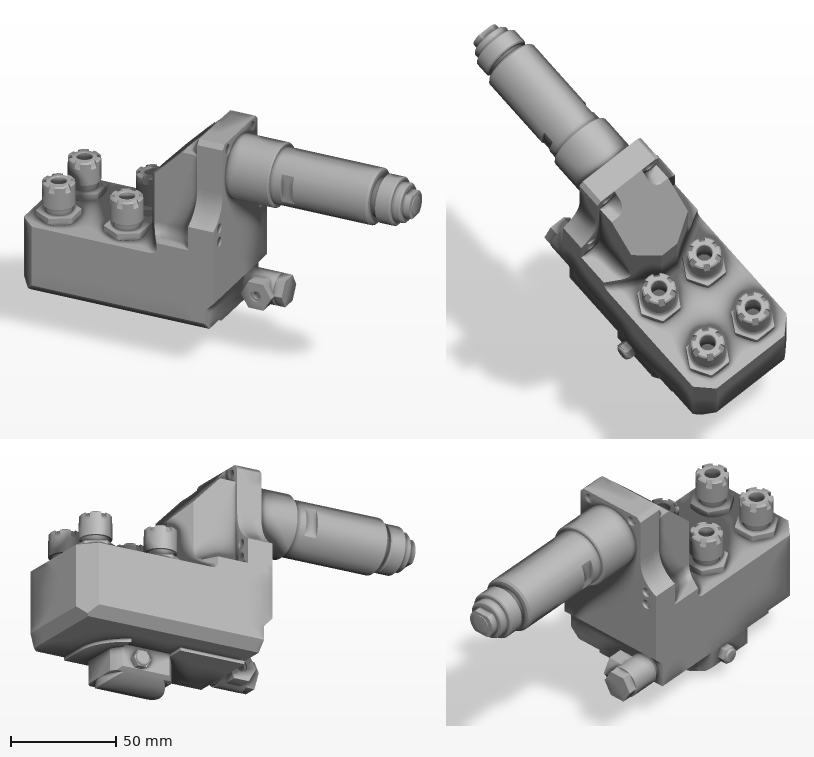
import cadquery as cq
import math


HEX_SIDES = 6

BODY_LENGTH = 104.0
BODY_WIDTH = 58.0
HALF_WIDTH = BODY_WIDTH / 2
DECK_Z = 36.3
CORNER_CHAMFER = 8.0
BOTTOM_CHAMFER = 5.0
NOTCH_DEPTH = 4.5
NOTCH_BEVEL_Z = 12.0

TOWER_TOP_Z = 96.0
NOSE_X = 60.0
NOSE_HALF_WIDTH = 4.8
NOSE_ANGLE = 30.0
NOSE_FILLET = 3.0
FLANGE_X = 90.6
TOWER_HALF_WIDTH = 17.5
SIDE_FLOOR_Z = 42.3
POCKET_RADIUS = 5.0
CORNER_POCKET_Y = 8.4
CORNER_POCKET_Z = 87.3

FLANGE_HALF_WIDTH = 19.0
FLANGE_CHAMFER = 2.2
SHOULDER_TOP_Z = 70.3
SHOULDER_BOTTOM_Z = 54.8
FLANGE_HOLE_DIAMETER = 5.0
UPPER_HOLE_Y = 13.4
UPPER_HOLE_Z = 92.0
LOWER_HOLE_Y = 22.7
LOWER_HOLE_ZS = (46.9, 54.0)

COLLET_CENTRE_X = 33.0
COLLET_SPACING_X = 36.0
COLLET_SPACING_Y = 28.0
COLLET_HEX_FLATS = 19.0
COLLET_HEX_ROUND_RADIUS = 10.8
COLLET_HEX_CHAMFER_HEIGHT = 0.9
COLLET_HEX_CHAMFER_WIDTH = 1.5
COLLET_HEX_TOP_Z = 40.1
COLLET_STEM_RADIUS = 6.6
COLLET_NUT_RADIUS = 8.0
COLLET_NUT_BOTTOM_Z = 43.9
COLLET_NUT_TOP_Z = 55.8
COLLET_NUT_CHAMFER = 0.7
COLLET_BORE_RADIUS = 3.8
COLLET_BORE_CHAMFER = 0.4
COLLET_SLOT_COUNT = 6
COLLET_SLOT_WIDTH = 3.0
COLLET_SLOT_DEPTH = 3.7
COLLET_SLOT_INNER_RADIUS = 5.8

SHAFT_Z = 77.0
SHAFT_END_X = 197.05
SLEEVE_RADIUS = 16.0
SLEEVE_END_X = 126.5
BARREL_RADIUS = 14.0
BARREL_END_X = 177.8
COLLAR_RADIUS = 12.0
COLLAR_START_X = 180.6
COLLAR_END_X = 188.8
JOURNAL_RADIUS = 9.8
JOURNAL_END_X = 193.0
TANG_RADIUS = 7.1
TANG_END_X = 196.7
TANG_THICKNESS = 12.0
TIP_RADIUS = 4.5
SHAFT_CHAMFER = 0.6
BARREL_CHAMFER = 1.0
SPANNER_FLAT_START_X = 132.0
SPANNER_FLAT_LENGTH = 6.4
SPANNER_FLAT_WIDTH = 24.0

SHANK_X = 51.0
SHANK_Y = 14.0
PAD_THICKNESS = 1.6
PAD_RADIUS = 25.0
PAD_START_X = 23.5
SHANK_RADIUS = 19.65
SHANK_LENGTH_X = 34.0
SHANK_LENGTH_Y = 29.6
SHANK_SHOULDER_Z = -12.9
SHANK_BOTTOM_Z = -16.99
SHANK_END_RADIUS = 16.6
SHANK_CROWN_RADIUS = 21.6

SCREW_OFFSET_X = 4.15
SCREW_Z = -6.8
SCREW_HEX_FLATS = 7.9
SCREW_HEX_REACH = 18.5
SCREW_TIP_REACH = 19.7
SCREW_TIP_RADIUS = 3.75
SCREW_TIP_FILLET = 1.0

ELBOW_X = 108.8
ELBOW_Y = 18.9
ELBOW_Z = 5.2
ELBOW_RADIUS = 8.0
ELBOW_HALF_LENGTH = 7.2
ELBOW_NECK_RADIUS = 7.1
ELBOW_HEX_FLATS = 13.8
ELBOW_HEX_REACH = 11.8
ELBOW_PORT_RADIUS = 2.0
ELBOW_PASSAGE_RADIUS = 2.4
ELBOW_PORT_MOUTH_RADIUS = 3.0
ELBOW_PORT_MOUTH_DEPTH = 1.0


def cylinder(start, direction, radius, length):
    return cq.Workplane(cq.Solid.makeCylinder(radius, length, cq.Vector(*start), cq.Vector(*direction)))


def box(x_range, y_range, z_range):
    size = [high - low for low, high in (x_range, y_range, z_range)]
    corner = (x_range[0], y_range[0], z_range[0])
    return cq.Workplane(cq.Solid.makeBox(*size, cq.Vector(*corner)))


def across_corners(flats):
    return flats / math.cos(math.pi / HEX_SIDES)


def lower_block():
    block = box((0, BODY_LENGTH), (-HALF_WIDTH, HALF_WIDTH), (0, DECK_Z))
    block = block.edges("|Z and <X").chamfer(CORNER_CHAMFER)
    front_bevel = (
        cq.Workplane("XZ")
        .polyline([(0, 0), (BOTTOM_CHAMFER, 0), (0, BOTTOM_CHAMFER)])
        .close()
        .extrude(HALF_WIDTH, both=True)
    )
    side_bevel = (
        cq.Workplane("YZ")
        .polyline(
            [(-HALF_WIDTH, 0), (BOTTOM_CHAMFER - HALF_WIDTH, 0), (-HALF_WIDTH, BOTTOM_CHAMFER)]
        )
        .close()
        .extrude(BODY_LENGTH)
    )
    return block.cut(front_bevel).cut(side_bevel)


def tower():
    """Full-width prow with a narrow flat nose, sloped at 45 degrees above."""
    prow_run = (HALF_WIDTH - NOSE_HALF_WIDTH) * math.tan(math.radians(NOSE_ANGLE))
    prow = (
        cq.Workplane("XY")
        .workplane(offset=BOTTOM_CHAMFER)
        .polyline(
            [
                (BODY_LENGTH, -HALF_WIDTH),
                (NOSE_X + prow_run, -HALF_WIDTH),
                (NOSE_X, -NOSE_HALF_WIDTH),
                (NOSE_X, NOSE_HALF_WIDTH),
                (NOSE_X + prow_run, HALF_WIDTH),
                (BODY_LENGTH, HALF_WIDTH),
            ]
        )
        .close()
        .extrude(TOWER_TOP_Z - BOTTOM_CHAMFER)
    )
    slope_run = FLANGE_X - NOSE_X
    slope = (
        cq.Workplane("XZ")
        .polyline(
            [(NOSE_X, TOWER_TOP_Z), (FLANGE_X, TOWER_TOP_Z), (NOSE_X, TOWER_TOP_Z - slope_run)]
        )
        .close()
        .extrude(HALF_WIDTH, both=True)
    )
    return prow.cut(slope)


def flange_envelope():
    """Rear outline of the housing, with concave shoulders, as a bar along X."""
    shoulder_run = HALF_WIDTH - FLANGE_HALF_WIDTH
    shoulder_drop = SHOULDER_TOP_Z - SHOULDER_BOTTOM_Z
    radius = (shoulder_run**2 + shoulder_drop**2) / (2 * shoulder_run)
    half_sweep = math.asin(shoulder_drop / radius) / 2
    mid_y = FLANGE_HALF_WIDTH + radius * (1 - math.cos(half_sweep))
    mid_z = SHOULDER_TOP_Z - radius * math.sin(half_sweep)
    cap_half_width = FLANGE_HALF_WIDTH - FLANGE_CHAMFER
    cap_side_z = TOWER_TOP_Z - FLANGE_CHAMFER
    return (
        cq.Workplane("YZ")
        .moveTo(-HALF_WIDTH, 0)
        .lineTo(HALF_WIDTH, 0)
        .lineTo(HALF_WIDTH, SHOULDER_BOTTOM_Z)
        .threePointArc((mid_y, mid_z), (FLANGE_HALF_WIDTH, SHOULDER_TOP_Z))
        .lineTo(FLANGE_HALF_WIDTH, cap_side_z)
        .lineTo(cap_half_width, TOWER_TOP_Z)
        .lineTo(-cap_half_width, TOWER_TOP_Z)
        .lineTo(-FLANGE_HALF_WIDTH, cap_side_z)
        .lineTo(-FLANGE_HALF_WIDTH, SHOULDER_TOP_Z)
        .threePointArc((-mid_y, mid_z), (-HALF_WIDTH, SHOULDER_BOTTOM_Z))
        .close()
        .extrude(BODY_LENGTH)
    )


def flange_pocket(inner_y, floor_z):
    """Cutter in front of the flange, open to +Y and +Z, with a rounded inner corner."""
    block = box((NOSE_X, FLANGE_X), (inner_y, BODY_WIDTH), (floor_z, TOWER_TOP_Z + BODY_WIDTH))
    return block.edges("|X and <Y and <Z").fillet(POCKET_RADIUS)


def rear_notch():
    """Cutter along the lower rear edge, with a 45 degree upper end."""
    notch_x = BODY_LENGTH - NOTCH_DEPTH
    return (
        cq.Workplane("XZ")
        .polyline(
            [
                (notch_x, 0),
                (BODY_LENGTH, 0),
                (BODY_LENGTH, NOTCH_BEVEL_Z + NOTCH_DEPTH),
                (notch_x, NOTCH_BEVEL_Z),
            ]
        )
        .close()
        .extrude(HALF_WIDTH, both=True)
    )


def flange_holes():
    centres = []
    for side in (-1, 1):
        centres.append((side * UPPER_HOLE_Y, UPPER_HOLE_Z))
        for hole_z in LOWER_HOLE_ZS:
            centres.append((side * LOWER_HOLE_Y, hole_z))
    return (
        cq.Workplane("YZ")
        .workplane(offset=FLANGE_X)
        .pushPoints(centres)
        .circle(FLANGE_HOLE_DIAMETER / 2)
        .extrude(BODY_LENGTH - FLANGE_X)
    )


def housing():
    """Block and tower with the filleted prow root, pockets, rear notch and flange holes."""
    body = lower_block().union(tower())
    margin = NOSE_FILLET / 2
    prow_root = cq.selectors.BoxSelector(
        (NOSE_X - margin, margin - HALF_WIDTH, DECK_Z - margin),
        (FLANGE_X, HALF_WIDTH - margin, DECK_Z + margin),
    )
    body = body.edges(prow_root).fillet(NOSE_FILLET)
    body = body.intersect(flange_envelope())
    for inner_y, floor_z in (
        (TOWER_HALF_WIDTH, SIDE_FLOOR_Z),
        (CORNER_POCKET_Y, CORNER_POCKET_Z),
    ):
        pocket = flange_pocket(inner_y, floor_z)
        body = body.cut(pocket).cut(pocket.mirror("XZ"))
    return body.cut(rear_notch()).cut(flange_holes())


def collet_spindle():
    """Collet spindle on the Z axis, standing at deck height."""
    up = (0, 0, 1)
    hex_height = COLLET_HEX_TOP_Z - DECK_Z
    hexagon = (
        cq.Workplane("XY")
        .workplane(offset=DECK_Z)
        .polygon(HEX_SIDES, across_corners(COLLET_HEX_FLATS))
        .extrude(hex_height)
        .rotate((0, 0, 0), up, 180 / HEX_SIDES)
    )
    corner_rounding = cylinder((0, 0, DECK_Z), up, COLLET_HEX_ROUND_RADIUS, hex_height)
    corner_rounding = corner_rounding.edges("<Z").chamfer(
        COLLET_HEX_CHAMFER_HEIGHT, COLLET_HEX_CHAMFER_WIDTH
    )
    hexagon = hexagon.intersect(corner_rounding)

    stem_height = COLLET_NUT_BOTTOM_Z - DECK_Z
    stem = cylinder((0, 0, DECK_Z), up, COLLET_STEM_RADIUS, stem_height)
    nut_height = COLLET_NUT_TOP_Z - COLLET_NUT_BOTTOM_Z
    nut = cylinder((0, 0, COLLET_NUT_BOTTOM_Z), up, COLLET_NUT_RADIUS, nut_height)
    nut = nut.edges(">Z").chamfer(COLLET_NUT_CHAMFER)
    bore = cylinder((0, 0, COLLET_NUT_BOTTOM_Z), up, COLLET_BORE_RADIUS, nut_height)
    nut = nut.cut(bore)
    nut = nut.edges(cq.selectors.RadiusNthSelector(0)).edges(">Z").chamfer(COLLET_BORE_CHAMFER)

    slot_floor_z = COLLET_NUT_TOP_Z - COLLET_SLOT_DEPTH
    slot = (
        cq.Workplane("YZ")
        .polyline(
            [
                (COLLET_SLOT_INNER_RADIUS, COLLET_NUT_TOP_Z),
                (COLLET_NUT_RADIUS, slot_floor_z),
                (COLLET_NUT_RADIUS, COLLET_NUT_TOP_Z),
            ]
        )
        .close()
        .extrude(COLLET_SLOT_WIDTH / 2, both=True)
    )
    for index in range(COLLET_SLOT_COUNT):
        nut = nut.cut(slot.rotate((0, 0, 0), up, index * 360 / COLLET_SLOT_COUNT))
    return hexagon.union(stem).union(nut)


def drive_shaft():
    """Stepped shaft along X with spanner flats, a collar and a flat-sided tang."""

    def section(radius, start_x, end_x, chamfered_ends=None, chamfer=SHAFT_CHAMFER):
        piece = cylinder((start_x, 0, SHAFT_Z), (1, 0, 0), radius, end_x - start_x)
        if chamfered_ends:
            piece = piece.faces(chamfered_ends).edges().chamfer(chamfer)
        return piece

    sleeve = section(SLEEVE_RADIUS, BODY_LENGTH, SLEEVE_END_X, ">X")
    barrel = section(BARREL_RADIUS, SLEEVE_END_X, BARREL_END_X, ">X", BARREL_CHAMFER)
    journal = section(JOURNAL_RADIUS, BARREL_END_X, JOURNAL_END_X, ">X")
    collar = section(COLLAR_RADIUS, COLLAR_START_X, COLLAR_END_X, "|X")
    tang = section(TANG_RADIUS, JOURNAL_END_X, TANG_END_X)
    tip = section(TIP_RADIUS, TANG_END_X, SHAFT_END_X)

    half_tang = TANG_THICKNESS / 2
    tang = tang.intersect(
        box(
            (JOURNAL_END_X, TANG_END_X),
            (-TANG_RADIUS, TANG_RADIUS),
            (SHAFT_Z - half_tang, SHAFT_Z + half_tang),
        )
    )
    spanner_flat = box(
        (SPANNER_FLAT_START_X, SPANNER_FLAT_START_X + SPANNER_FLAT_LENGTH),
        (SPANNER_FLAT_WIDTH / 2, BARREL_RADIUS),
        (SHAFT_Z - BARREL_RADIUS, SHAFT_Z + BARREL_RADIUS),
    )
    barrel = barrel.cut(spanner_flat).cut(spanner_flat.mirror("XZ"))
    return sleeve.union(barrel).union(journal).union(collar).union(tang).union(tip)


def mounting_pad():
    """Pad with a rounded front corner and a recess in front of the shank's -Y flat."""
    arc_x = PAD_START_X + PAD_RADIUS
    diagonal = PAD_RADIUS * math.sqrt(0.5)
    end_x = BODY_LENGTH - NOTCH_DEPTH
    pad = (
        cq.Workplane("XY")
        .moveTo(PAD_START_X, HALF_WIDTH)
        .lineTo(PAD_START_X, SHANK_Y)
        .threePointArc((arc_x - diagonal, SHANK_Y - diagonal), (arc_x, SHANK_Y - PAD_RADIUS))
        .lineTo(end_x, SHANK_Y - PAD_RADIUS)
        .lineTo(end_x, HALF_WIDTH)
        .close()
        .extrude(-PAD_THICKNESS)
    )
    shank_flat_y = SHANK_LENGTH_Y / 2
    half_flat = math.sqrt(SHANK_RADIUS**2 - shank_flat_y**2)
    recess = box(
        (SHANK_X - half_flat, SHANK_X + half_flat),
        (SHANK_Y - PAD_RADIUS, SHANK_Y - shank_flat_y),
        (-PAD_THICKNESS, 0),
    )
    return pad.cut(recess)


def shank():
    """Flat-sided round shank whose end is crowned about an axis along X."""
    top = (SHANK_X, SHANK_Y, 0)
    down = (0, 0, -1)
    half_x = SHANK_LENGTH_X / 2
    half_y = SHANK_LENGTH_Y / 2
    flats = box(
        (SHANK_X - half_x, SHANK_X + half_x),
        (SHANK_Y - half_y, SHANK_Y + half_y),
        (SHANK_BOTTOM_Z, 0),
    )
    upper = cylinder(top, down, SHANK_RADIUS, -SHANK_SHOULDER_Z)
    lower = cylinder(top, down, SHANK_END_RADIUS, -SHANK_BOTTOM_Z)
    crown_start = (SHANK_X - half_x, SHANK_Y, SHANK_BOTTOM_Z + SHANK_CROWN_RADIUS)
    crown = cylinder(crown_start, (1, 0, 0), SHANK_CROWN_RADIUS, SHANK_LENGTH_X)
    return upper.union(lower).intersect(flats).intersect(crown)


def shank_screw(side):
    """Hexagon screw through the shank face on the given side of it (-1 or +1 along Y)."""
    start = (SHANK_X + side * SCREW_OFFSET_X, SHANK_Y, SCREW_Z)
    outward = (0, side, 0)
    hex_plane = cq.Plane(origin=start, xDir=(1, 0, 0), normal=outward)
    hexagon = cq.Workplane(hex_plane).polygon(HEX_SIDES, across_corners(SCREW_HEX_FLATS))
    hexagon = hexagon.extrude(SCREW_HEX_REACH)
    tip = cylinder(start, outward, SCREW_TIP_RADIUS, SCREW_TIP_REACH)
    tip = tip.faces(">Y" if side > 0 else "<Y").edges().fillet(SCREW_TIP_FILLET)
    return hexagon.union(tip)


def coolant_elbow():
    """Round fitting with hexagons facing +X and -Y, joined to the block by a short neck."""
    centre = (ELBOW_X, ELBOW_Y, ELBOW_Z)
    barrel_start = (ELBOW_X - ELBOW_HALF_LENGTH, ELBOW_Y, ELBOW_Z)
    barrel = cylinder(barrel_start, (1, 0, 0), ELBOW_RADIUS, 2 * ELBOW_HALF_LENGTH)

    neck_start_x = BODY_LENGTH - NOTCH_DEPTH
    neck_length = ELBOW_X - neck_start_x
    neck = cylinder((neck_start_x, ELBOW_Y, ELBOW_Z), (1, 0, 0), ELBOW_NECK_RADIUS, neck_length)

    elbow = barrel.union(neck)
    corners = across_corners(ELBOW_HEX_FLATS)
    rear_plane = cq.Plane(origin=centre, xDir=(0, 1, 0), normal=(1, 0, 0))
    side_plane = cq.Plane(origin=centre, xDir=(1, 0, 0), normal=(0, -1, 0))
    for hex_plane in (rear_plane, side_plane):
        elbow = elbow.union(cq.Workplane(hex_plane).polygon(HEX_SIDES, corners).extrude(ELBOW_HEX_REACH))

    mouth = (ELBOW_X, ELBOW_Y - ELBOW_HEX_REACH, ELBOW_Z)
    inward = (0, 1, 0)
    port = cylinder(mouth, inward, ELBOW_PORT_RADIUS, ELBOW_HEX_REACH)
    counterbore = cylinder(mouth, inward, ELBOW_PORT_MOUTH_RADIUS, ELBOW_PORT_MOUTH_DEPTH)
    passage_start = (neck_start_x, ELBOW_Y, ELBOW_Z)
    passage_length = neck_length + ELBOW_PASSAGE_RADIUS
    passage = cylinder(passage_start, (1, 0, 0), ELBOW_PASSAGE_RADIUS, passage_length)
    return elbow.cut(port).cut(counterbore).cut(passage)


result = housing()

spindle = collet_spindle()
for side_x in (-0.5, 0.5):
    for side_y in (-0.5, 0.5):
        spindle_x = COLLET_CENTRE_X + side_x * COLLET_SPACING_X
        spindle_y = side_y * COLLET_SPACING_Y
        result = result.union(spindle.translate((spindle_x, spindle_y, 0)))

result = result.union(drive_shaft())
result = result.union(mounting_pad())
result = result.union(shank())
for side in (-1, 1):
    result = result.union(shank_screw(side))
result = result.union(coolant_elbow())